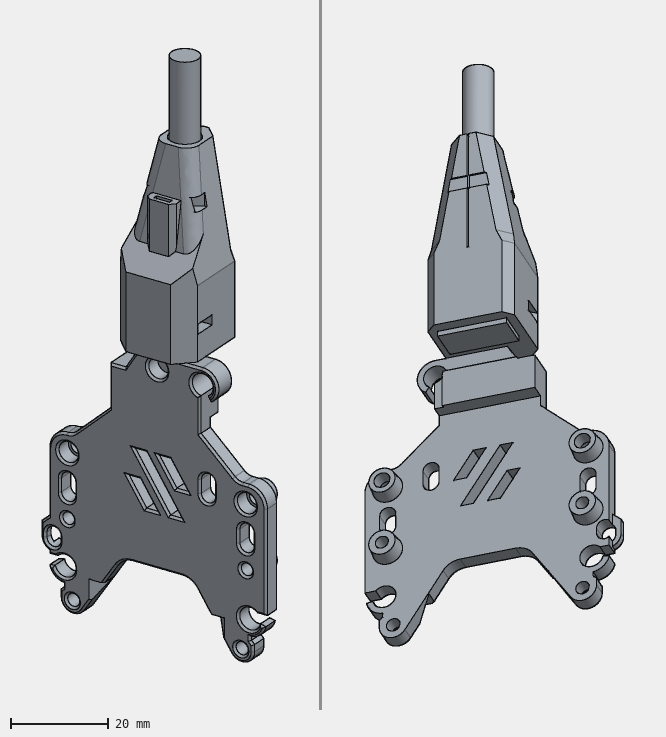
import cadquery as cq
import math


HOUSING_BOTTOM_Z = 64.6

PLATE_T = 4.0
PLATE_CENTER_X = 0.8
PLATE_LEFT = -25.8
PLATE_RIGHT = 27.7
EDGE_CHAMFER = 0.5
SHOULDER_Z = 36.5
SHOULDER_SPACING = 43.8
SHOULDER_R = 4.5
NECK_LEFT = -10.8
NECK_RIGHT = 11.4
NECK_BOTTOM_Z = 49.5
NECK_STEP_X = -7.0
NECK_STEP_Z = 59.7
NECK_TOP_LEFT = -4.0
DIAGONAL_RUN = 9.2
DIAGONAL_R = 3.1
NECK_T = 5.3
PAD_T = 7.4
PAD_BOTTOM_Z = 51.8
PAD_TOP_Z = 60.1
PAD_SLOPE_TOP_Z = 61.7
PAD_RIGHT_STEP = 1.9
PAD_RIGHT_T = 6.8

LEG_SPACING = 41.4
LEG_Z = 3.1
LEG_R = 3.1
LEG_SHOULDER_Z = 4.7
LEG_STEP = 0.8
LEG_TOP_Z = 6.7
LEG_LEAN = 33.7
NOTCH_TOP_Z = 15.9
NOTCH_R = 4.5

CLIP_R = 2.5
CLIP_OUTER_R = 4.0
LEG_CLIP_SPACING = 45.4
LEG_CLIP_Z = 10.4
LEG_CLIP_SWEEP = (-92, -12)
NECK_CLIP_X = 11.8
NECK_CLIP_Z = HOUSING_BOTTOM_Z - CLIP_OUTER_R
NECK_CLIP_SWEEP = (-58, 90)
CLIP_MOUTH_Z = 12.2

LUG_T = 2.0
LUG_LEFT = -27.7
LUG_X = -24.7
LUG_Z = 16.3
LUG_STRETCH = 1.0
LUG_SIDE_TOP_Z = 19.2
LUG_TOP_Z = 20.9

HOLE_LOW_Z = 21.4
BOSS_BASE_D = 6.5
BOSS_TIP_D = 5.8
SHOULDER_HOLE_D = 3.5
COUNTERBORE_D = 4.7
LOW_HOLE_D = 2.8
LEG_HOLE_D = 3.0
RECESS_D = 4.7
RECESS_DEPTH = 3.8
RECESS_X = 0.9
RECESS_Z = 61.5
SLOT_W = 3.5
SLOT_L = 6.7
SIDE_SLOT_Z = 28.6
INNER_SLOT_X = 13.2
INNER_SLOT_Z = 37.4
LUG_SLOT_L = 4.6
WINDOW_W = 2.8
WINDOW_LEAN = 0.67
WINDOWS = [(-3.3, 41.8, 28.8), (2.5, 41.8, 35.4), (-4.9, 35.3, 28.8)]
LEG_BEVEL_X = 16.7
LEG_BEVEL_TOP_Z = 9.1

HOUSING_HALF_W = 9.5
HOUSING_FRONT = -1.9
HOUSING_BACK = 18.1
FRONT_CHAMFER = 4.0
BACK_CHAMFER = 2.0
TAPER_Z = 82.0
FRONT_SLOPE_Z = 82.8
FRONT_SLOPE_RUN = 10.3
BACK_BLEND_Z = 84.9
NECK_CHAMFER = 2.8
NECK_ROUND = 3.1
HOUSING_TOP_Z = 109.6
HOUSING_TOP_HALF_W = 4.6
HOUSING_TOP_FRONT = 6.9
DRAFT = (HOUSING_HALF_W - HOUSING_TOP_HALF_W) / (HOUSING_TOP_Z - TAPER_Z)

CABLE_D = 6.5
CABLE_HOLE_D = 7.2
CABLE_Y = 11.8
CABLE_TOP_Z = 128.2
SPLIT_W = 0.4

POST_W = 7.0
POST_FRONT = 2.0
POST_CHAMFER = 1.2
POST_TOP_Z = 98.7
POST_SLOT_W = 3.8
POST_SLOT_T = 1.0
POST_SLOT_Y = 3.6
POST_SLOT_DEPTH = 7.7

CONNECTOR_W = 15.1
CONNECTOR_FRONT = 8.1
CONNECTOR_T = 7.4
CONNECTOR_BOTTOM_Z = 63.5
CONNECTOR_TOP_Z = 76.9

UPPER_TIE = (5.9, 9.5, 96.4, 3.1, 17.7, 10.4)
LOWER_TIE = (2.0, 7.5, 70.9, 2.3, -6.4, 12.8)
TIE_NOTCH_DEPTH = 0.4


def prism(points, thickness):
    """Closed outline in X and Z, extruded from the front face toward +Y."""
    return cq.Workplane("XZ").polyline(points).close().extrude(-thickness)


def rod(x, z, diameter, length, start=0.0):
    """Cylinder along +Y."""
    return cq.Workplane("XZ", origin=(x, start, z)).circle(diameter / 2).extrude(-length)


def upright_slot(x, z, width, length):
    """Through slot with round ends, standing along Z."""
    return cq.Workplane("XZ", origin=(x, 0, z)).slot2D(length, width, 90).extrude(-PAD_T)


def both_sides(spacing):
    return [PLATE_CENTER_X - spacing / 2, PLATE_CENTER_X + spacing / 2]


def on_circle(center, radius, degrees):
    angle = math.radians(degrees)
    return (center[0] + radius * math.cos(angle), center[1] + radius * math.sin(angle))


def rounded_outline(corners):
    """Closed outline in X and Z from corners (x, z, radius), with an exact tangent arc at each radius."""
    outline = None
    for i, (x, z, radius) in enumerate(corners):
        before, after = corners[i - 1], corners[(i + 1) % len(corners)]
        toward_before = cq.Vector(before[0] - x, before[1] - z).normalized()
        toward_after = cq.Vector(after[0] - x, after[1] - z).normalized()
        half = toward_before.getAngle(toward_after) / 2
        corner = cq.Vector(x, z)
        setback = radius / math.tan(half)
        first = corner + toward_before * setback
        if outline is None:
            outline = cq.Workplane("XZ").moveTo(first.x, first.y)
        else:
            outline = outline.lineTo(first.x, first.y)
        if radius > 0:
            bisector = (toward_before + toward_after).normalized()
            middle = corner + bisector * (radius / math.sin(half) - radius)
            last = corner + toward_after * setback
            outline = outline.threePointArc((middle.x, middle.y), (last.x, last.y))
    return outline.close()


def lower_corners(side):
    """Outline corners of one leg, from the notch out to the clip's mouth; side is -1 or 1."""
    lean = math.radians(LEG_LEAN)
    leg_outer = LEG_SPACING / 2 + LEG_R
    point_z = LEG_Z - LEG_R / math.tan(lean / 2)
    notch_half = leg_outer - (NOTCH_TOP_Z - point_z) * math.tan(lean)
    clip = LEG_CLIP_SPACING / 2
    edge = abs((PLATE_LEFT if side < 0 else PLATE_RIGHT) - PLATE_CENTER_X)
    corners = [
        (notch_half, NOTCH_TOP_Z, NOTCH_R),
        (leg_outer, point_z, LEG_R),
        (leg_outer, LEG_SHOULDER_Z, 0),
        (leg_outer - LEG_STEP, LEG_SHOULDER_Z + LEG_STEP, 0),
        (leg_outer - LEG_STEP, LEG_TOP_Z, 0),
        (clip, LEG_TOP_Z, 0),
        (clip, CLIP_MOUTH_Z, 0),
        (edge, CLIP_MOUTH_Z, 0),
    ]
    return [(PLATE_CENTER_X + side * x, z, radius) for x, z, radius in corners]


def plate_outline():
    shoulder_top = SHOULDER_Z + SHOULDER_R
    left = lower_corners(-1)
    left += [
        (PLATE_LEFT, shoulder_top, SHOULDER_R),
        (NECK_LEFT - DIAGONAL_RUN, shoulder_top, DIAGONAL_R),
        (NECK_LEFT, NECK_BOTTOM_Z, 0),
        (NECK_LEFT, NECK_STEP_Z, 0),
        (NECK_STEP_X, NECK_STEP_Z, 0),
        (NECK_TOP_LEFT, HOUSING_BOTTOM_Z, 0),
    ]
    right = lower_corners(1)
    right += [
        (PLATE_RIGHT, shoulder_top, SHOULDER_R),
        (NECK_RIGHT + DIAGONAL_RUN, shoulder_top, DIAGONAL_R),
        (NECK_RIGHT, NECK_BOTTOM_Z, 0),
        (NECK_RIGHT, NECK_CLIP_Z, 0),
        (NECK_CLIP_X, NECK_CLIP_Z, 0),
        (NECK_CLIP_X, HOUSING_BOTTOM_Z, 0),
    ]
    return rounded_outline(left + right[::-1])


def clip_sector(x, z, sweep, thickness):
    """Pie slice between two angles from +X toward +Z; the wire hole turns it into a clip's arm."""
    start, end = sweep
    center = (x, z)
    return (
        cq.Workplane("XZ")
        .moveTo(*center)
        .lineTo(*on_circle(center, CLIP_OUTER_R, start))
        .threePointArc(
            on_circle(center, CLIP_OUTER_R, (start + end) / 2), on_circle(center, CLIP_OUTER_R, end)
        )
        .close()
        .extrude(-thickness)
    )


def neck_backing():
    """Thicker neck with a raised pad across its back, trimmed to the plate's outline."""
    profile = [
        (0, PAD_BOTTOM_Z), (PAD_T, PAD_BOTTOM_Z), (PAD_T, PAD_TOP_Z),
        (NECK_T, PAD_SLOPE_TOP_Z), (NECK_T, HOUSING_BOTTOM_Z), (0, HOUSING_BOTTOM_Z),
    ]
    length = NECK_CLIP_X - NECK_LEFT
    backing = cq.Workplane("YZ", origin=(NECK_LEFT, 0, 0)).polyline(profile).close().extrude(length)
    step_left = NECK_RIGHT - PAD_RIGHT_STEP
    step = (
        cq.Workplane("XY")
        .box(NECK_CLIP_X - step_left, PAD_T, HOUSING_BOTTOM_Z - PAD_BOTTOM_Z, centered=False)
        .translate((step_left, PAD_RIGHT_T, PAD_BOTTOM_Z))
    )
    return backing.cut(step).intersect(plate_outline().extrude(-PAD_T))


def lug():
    """Thin ear with a slot, standing out of the left edge."""
    half = LUG_X - LUG_LEFT
    ear = (
        cq.Workplane("XZ", origin=(LUG_X, 0, LUG_Z))
        .slot2D(2 * half + LUG_STRETCH, 2 * half, 90)
        .extrude(-LUG_T)
    )
    shoulder = prism(
        [
            (LUG_LEFT, LUG_Z), (LUG_LEFT, LUG_SIDE_TOP_Z), (PLATE_LEFT, LUG_TOP_Z),
            (LUG_X, LUG_TOP_Z), (LUG_X, LUG_Z),
        ],
        LUG_T,
    )
    return ear.union(shoulder)


def boss(x, z):
    return (
        cq.Workplane("XZ", origin=(x, PLATE_T, z))
        .circle(BOSS_BASE_D / 2)
        .workplane(offset=PLATE_T - PAD_T)
        .circle(BOSS_TIP_D / 2)
        .loft()
    )


def leaning_window(top_x, top_z, bottom_z):
    half = WINDOW_W / 2
    bottom_x = top_x + WINDOW_LEAN * (top_z - bottom_z)
    return prism(
        [
            (top_x - half, top_z), (top_x + half, top_z),
            (bottom_x + half, bottom_z), (bottom_x - half, bottom_z),
        ],
        PLATE_T,
    )


def chamfered_recess():
    """Blind round recess whose chamfer runs into the one along the top edge."""
    mouth = (
        cq.Workplane("XZ", origin=(RECESS_X, 0, RECESS_Z))
        .circle(RECESS_D / 2 + EDGE_CHAMFER)
        .workplane(offset=-EDGE_CHAMFER)
        .circle(RECESS_D / 2)
        .loft()
    )
    return mouth.union(rod(RECESS_X, RECESS_Z, RECESS_D, RECESS_DEPTH))


def leg_bevel(side):
    """Wedge at 45 degrees that thins the inner side of a leg; side is -1 or 1."""
    outer = PLATE_CENTER_X + side * LEG_BEVEL_X
    inner = outer - side * PLATE_T
    return (
        cq.Workplane("XY")
        .polyline([(outer, 0), (inner, PLATE_T), (inner, 0)])
        .close()
        .extrude(LEG_BEVEL_TOP_Z)
    )


def make_plate():
    plate = plate_outline().extrude(-PLATE_T).union(neck_backing()).union(lug())
    plate = plate.union(clip_sector(NECK_CLIP_X, NECK_CLIP_Z, NECK_CLIP_SWEEP, NECK_T))
    clip_l, clip_r = both_sides(LEG_CLIP_SPACING)
    leg_clip = clip_sector(clip_r, LEG_CLIP_Z, LEG_CLIP_SWEEP, PLATE_T)
    plate = plate.union(leg_clip).union(leg_clip.mirror("YZ", (PLATE_CENTER_X, 0, 0)))
    for x in both_sides(SHOULDER_SPACING):
        for z in (SHOULDER_Z, HOLE_LOW_Z):
            plate = plate.union(boss(x, z))

    for x, z in [(NECK_CLIP_X, NECK_CLIP_Z), (clip_l, LEG_CLIP_Z), (clip_r, LEG_CLIP_Z)]:
        plate = plate.cut(rod(x, z, 2 * CLIP_R, PAD_T))
    for x in both_sides(SHOULDER_SPACING):
        plate = plate.cut(rod(x, SHOULDER_Z, COUNTERBORE_D, PLATE_T))
        plate = plate.cut(rod(x, SHOULDER_Z, SHOULDER_HOLE_D, PAD_T))
        plate = plate.cut(rod(x, HOLE_LOW_Z, LOW_HOLE_D, PAD_T))
        plate = plate.cut(upright_slot(x, SIDE_SLOT_Z, SLOT_W, SLOT_L))
    for x in both_sides(LEG_SPACING):
        plate = plate.cut(rod(x, LEG_Z, LEG_HOLE_D, PLATE_T))
    plate = plate.cut(upright_slot(INNER_SLOT_X, INNER_SLOT_Z, SLOT_W, SLOT_L))
    plate = plate.cut(upright_slot(LUG_X, LUG_Z, SLOT_W, LUG_SLOT_L))
    for window in WINDOWS:
        plate = plate.cut(leaning_window(*window))

    plate = plate.faces("<Y").edges().chamfer(EDGE_CHAMFER)
    plate = plate.cut(chamfered_recess())
    for side in (-1, 1):
        plate = plate.cut(leg_bevel(side))
    return plate


def housing_base():
    """Eight-sided socket body whose front slopes back at 45 degrees above the taper line."""
    w, front, back = HOUSING_HALF_W, HOUSING_FRONT, HOUSING_BACK
    section = [
        (-w, front + FRONT_CHAMFER), (-w + FRONT_CHAMFER, front),
        (w - FRONT_CHAMFER, front), (w, front + FRONT_CHAMFER),
        (w, back - BACK_CHAMFER), (w - BACK_CHAMFER, back),
        (-w + BACK_CHAMFER, back), (-w, back - BACK_CHAMFER),
    ]
    top = FRONT_SLOPE_Z + FRONT_SLOPE_RUN
    column = (
        cq.Workplane("XY", origin=(0, 0, HOUSING_BOTTOM_Z))
        .polyline(section).close().extrude(top - HOUSING_BOTTOM_Z)
    )
    profile = [
        (front, HOUSING_BOTTOM_Z), (front, FRONT_SLOPE_Z), (front + FRONT_SLOPE_RUN, top),
        (front + FRONT_SLOPE_RUN, TAPER_Z), (back, TAPER_Z), (back, HOUSING_BOTTOM_Z),
    ]
    side_limit = cq.Workplane("YZ", origin=(-w, 0, 0)).polyline(profile).close().extrude(2 * w)
    run = top - TAPER_Z
    front_limit = (
        cq.Workplane("XZ", origin=(0, back, 0))
        .polyline([
            (-w, HOUSING_BOTTOM_Z), (w, HOUSING_BOTTOM_Z), (w, TAPER_Z),
            (w - DRAFT * run, top), (-w + DRAFT * run, top), (-w, TAPER_Z),
        ])
        .close()
        .extrude(back - front)
    )
    return column.intersect(side_limit).intersect(front_limit)


def neck_section(z, back_chamfer):
    """Cross section of the tapered neck: front corners rounded, back corners chamfered."""
    drop = DRAFT * (HOUSING_TOP_Z - z)
    w = HOUSING_TOP_HALF_W + drop
    front = HOUSING_TOP_FRONT - drop
    r = NECK_ROUND
    bulge = r * (1 - math.sqrt(0.5))
    return (
        cq.Workplane("XY", origin=(0, 0, z))
        .moveTo(-w + r, front)
        .lineTo(w - r, front)
        .threePointArc((w - bulge, front + bulge), (w, front + r))
        .lineTo(w, HOUSING_BACK - back_chamfer)
        .lineTo(w - back_chamfer, HOUSING_BACK)
        .lineTo(-w + back_chamfer, HOUSING_BACK)
        .lineTo(-w, HOUSING_BACK - back_chamfer)
        .lineTo(-w, front + r)
        .threePointArc((-w + bulge, front + bulge), (-w + r, front))
        .close()
        .wires().val()
    )


def housing_neck():
    low = neck_section(TAPER_Z, BACK_CHAMFER)
    middle = neck_section(BACK_BLEND_Z, NECK_CHAMFER)
    high = neck_section(HOUSING_TOP_Z, NECK_CHAMFER)
    blend = cq.Workplane(cq.Solid.makeLoft([low, middle], True))
    return blend.union(cq.Workplane(cq.Solid.makeLoft([middle, high], True)))


def post():
    """Chamfered upright block on the front of the neck."""
    depth = HOUSING_TOP_FRONT - POST_FRONT
    height = POST_TOP_Z - FRONT_SLOPE_Z
    block = cq.Workplane("XY", origin=(0, POST_FRONT + depth / 2, FRONT_SLOPE_Z))
    block = block.rect(POST_W, depth).extrude(height)
    return block.faces("<Y").edges("|Z").chamfer(POST_CHAMFER)


def tie_channel(front, back, bottom_z, height, core_y, core_r):
    """Crosswise channel for a cable tie, bent around a cylindrical core."""
    width = 2 * HOUSING_HALF_W
    channel = cq.Workplane("XY", origin=(0, (front + back) / 2, bottom_z)).rect(width, back - front)
    core = cq.Workplane("XY", origin=(0, core_y, bottom_z)).circle(core_r).extrude(height)
    return channel.extrude(height).cut(core)


def make_connector():
    height = CONNECTOR_TOP_Z - CONNECTOR_BOTTOM_Z
    center_y = CONNECTOR_FRONT + CONNECTOR_T / 2
    base = cq.Workplane("XY", origin=(0, center_y, CONNECTOR_BOTTOM_Z))
    return base.rect(CONNECTOR_W, CONNECTOR_T).extrude(height)


def cable_rod(diameter):
    base = cq.Workplane("XY", origin=(0, CABLE_Y, CONNECTOR_TOP_Z))
    return base.circle(diameter / 2).extrude(CABLE_TOP_Z - CONNECTOR_TOP_Z)


def make_housing():
    housing = housing_base().union(housing_neck()).union(post())
    slot = cq.Workplane("XY", origin=(0, POST_SLOT_Y, POST_TOP_Z)).rect(POST_SLOT_W, POST_SLOT_T)
    housing = housing.cut(slot.extrude(-POST_SLOT_DEPTH))
    housing = housing.cut(make_connector()).cut(cable_rod(CABLE_HOLE_D))
    split = cq.Workplane("XY", origin=(0, (CABLE_Y + HOUSING_BACK) / 2, TAPER_Z))
    split = split.rect(SPLIT_W, HOUSING_BACK - CABLE_Y).extrude(HOUSING_TOP_Z - TAPER_Z)
    housing = housing.cut(split)
    for tie in (UPPER_TIE, LOWER_TIE):
        housing = housing.cut(tie_channel(*tie))
    bottom_z, height = UPPER_TIE[2:4]
    notch = cq.Workplane("XY", origin=(0, HOUSING_BACK, bottom_z))
    notch = notch.rect(2 * HOUSING_HALF_W, 2 * TIE_NOTCH_DEPTH).extrude(height)
    return housing.cut(notch)


plate = make_plate()
housing = make_housing()
connector = make_connector()
cable = cable_rod(CABLE_D)

result = cq.Compound.makeCompound([plate.val(), housing.val(), connector.val(), cable.val()])